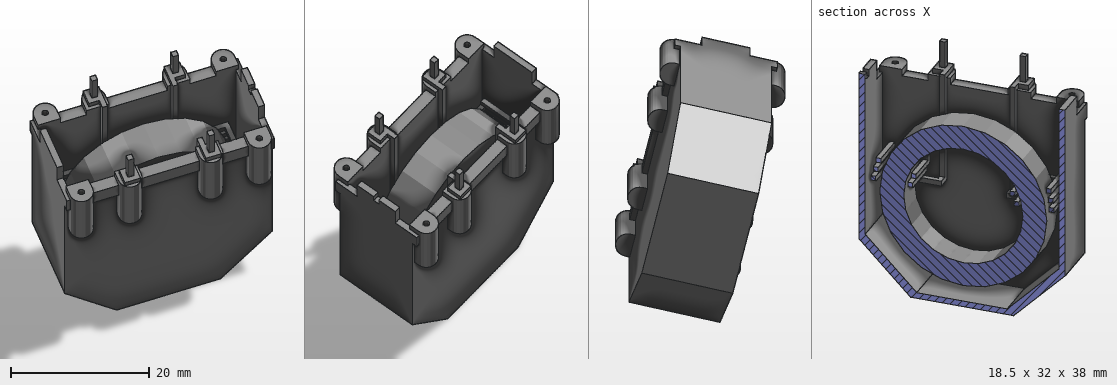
import cadquery as cq

facets = 24

length = 32.0
wall = 1.0
body_half_width = 6.75
cavity_half_width = body_half_width - wall
base_length = 16.0
base_chamfer = (length - base_length) / 2
cavity_length = length - 2 * wall
floor_length = base_length - 2 * wall
slope_rise = (cavity_length - floor_length) / 2

rim_half_width = 7.6
rim_bottom = 29.6
rim_top = 32.0
tab_width = 7.15
tab_top = 35.0
notch_width = 0.95
notch_depth = 1.0

overall_width = 18.5
boss_radius = 1.75
boss_x = overall_width / 2 - boss_radius
boss_bottom = 24.0
boss_top = 33.02
screw_boss_y = 13.7
pin_boss_y = 6.25
screw_hole_diameter = 0.9
screw_hole_depth = 4.0

core_radius = 13.0
core_bore_radius = 9.2
core_thickness = 6.3
core_height = 16.4
core_y = -0.2

wire = 0.8
pad_size = 2.4
pin_size = 0.87
pin_top = 38.0
leg_x = cavity_half_width - wire / 2
arm_y = pin_boss_y - pad_size / 2 + wire / 2
side_x = 4.03
top_turn_rise = 4.95
top_level = core_height + top_turn_rise
pitch = 1.52
front_outer_passes = (13.45, 13.75, 13.87)
front_inner_passes = (7.83, 8.45)
rear_outer_passes = (12.95, 13.38, 13.75)
rear_inner_passes = (7.5, 8.0)


def span_box(x_range, y_range, z_range):
    """Box between the given limits."""
    sizes = [abs(r[1] - r[0]) for r in (x_range, y_range, z_range)]
    corner = [min(r) for r in (x_range, y_range, z_range)]
    return cq.Workplane("XY").box(*sizes, centered=False).translate(tuple(corner))


def end_profile(full_length, bottom_length, bottom, top, rise):
    """YZ outline with 45-degree slopes at the bottom ends, as a closed wire."""
    return cq.Workplane("YZ").polyline([
        (-bottom_length / 2, bottom),
        (bottom_length / 2, bottom),
        (full_length / 2, bottom + rise),
        (full_length / 2, top),
        (-full_length / 2, top),
        (-full_length / 2, bottom + rise),
    ]).close()


def make_boss(side, y):
    """Faceted boss at one side, with a straight root reaching the cavity face."""
    height = boss_top - boss_bottom
    post = cq.Workplane("XY", origin=(side * boss_x, y, boss_bottom))
    post = post.polygon(facets, 2 * boss_radius).extrude(height)
    root = span_box(
        (side * cavity_half_width, side * boss_x),
        (y - boss_radius, y + boss_radius),
        (boss_bottom, boss_top),
    )
    return post.union(root)


def make_housing():
    """Open-topped box with a wider rim, end tabs and bosses."""
    shell = end_profile(length, base_length, 0, rim_top, base_chamfer).extrude(body_half_width, both=True)
    rim = span_box((-rim_half_width, rim_half_width), (-length / 2, length / 2), (rim_bottom, rim_top))
    tabs = span_box((-tab_width / 2, tab_width / 2), (-length / 2, length / 2), (rim_top, tab_top))
    housing = shell.union(rim).union(tabs)
    for side in (-1, 1):
        for y in (-screw_boss_y, -pin_boss_y, pin_boss_y, screw_boss_y):
            housing = housing.union(make_boss(side, y))

    cavity = end_profile(cavity_length, floor_length, wall, pin_top, slope_rise)
    housing = housing.cut(cavity.extrude(cavity_half_width, both=True))

    notch = span_box(
        (-notch_width / 2, notch_width / 2),
        (cavity_length / 2, length / 2),
        (tab_top - notch_depth, tab_top),
    )
    screw_holes = (
        cq.Workplane("XY", origin=(0, 0, boss_top))
        .rect(2 * boss_x, 2 * screw_boss_y, forConstruction=True)
        .vertices()
        .polygon(facets, screw_hole_diameter)
        .extrude(-screw_hole_depth)
    )
    return housing.cut(notch).cut(screw_holes)


def make_core():
    """Ring standing upright in the housing."""
    ring = (
        cq.Workplane("YZ", origin=(0, core_y, core_height))
        .polygon(facets, 2 * core_radius)
        .polygon(facets, 2 * core_bore_radius)
    )
    return ring.extrude(core_thickness / 2, both=True)


def wire_along(points):
    """Square wire following axis-parallel segments through the given points."""
    half = wire / 2
    body = None
    for start, end in zip(points, points[1:]):
        ranges = [(min(a, b) - half, max(a, b) + half) for a, b in zip(start, end)]
        segment = span_box(*ranges)
        body = segment if body is None else body.union(segment)
    return body


def make_terminal(side, end):
    """Pin, pad on the boss and the start of the arm over the cavity."""
    x = side * boss_x
    y = end * pin_boss_y
    half_pad = pad_size / 2
    half_pin = pin_size / 2
    pad_top = boss_top + wire
    pad = span_box((x - half_pad, x + half_pad), (y - half_pad, y + half_pad), (boss_top, pad_top))
    pin = span_box((x - half_pin, x + half_pin), (y - half_pin, y + half_pin), (pad_top, pin_top))
    return pad.union(pin)


def lead_path(side, end, level):
    """Wire centres from the pad along the arm, down the leg and in to the coil side."""
    arm_level = boss_top + wire / 2
    y = end * arm_y
    return [
        (side * boss_x, y, arm_level),
        (side * leg_x, y, arm_level),
        (side * leg_x, y, level),
        (side * side_x, y, level),
    ]


def make_coil(end, outer_passes, inner_passes):
    """Left terminal and the turns around the core at one end, stepping down on the right."""
    level = top_level
    path = lead_path(-1, end, level)
    for turn, outer_y in enumerate(outer_passes):
        path.append((-side_x, end * outer_y, level))
        path.append((side_x, end * outer_y, level))
        if turn < len(inner_passes):
            level -= pitch / 2
            path.append((side_x, end * outer_y, level))
            path.append((side_x, end * inner_passes[turn], level))
            level -= pitch / 2
            path.append((side_x, end * inner_passes[turn], level))
            path.append((-side_x, end * inner_passes[turn], level))
    return make_terminal(-1, end).union(wire_along(path))


def make_return_lead(end, outer_passes):
    """Right terminal and the wire that runs under the last turn to its end."""
    last_pass = outer_passes[-1]
    turn_level = top_level - (len(outer_passes) - 1) * pitch
    level = turn_level - pitch
    path = lead_path(1, end, level)
    path.append((side_x, end * last_pass, level))
    path.append((side_x, end * last_pass, turn_level - wire))
    return make_terminal(1, end).union(wire_along(path))


housing = make_housing()
core = make_core()
coils = []
return_leads = []
for end, outer_passes, inner_passes in (
    (-1, front_outer_passes, front_inner_passes),
    (1, rear_outer_passes, rear_inner_passes),
):
    coils.append(make_coil(end, outer_passes, inner_passes))
    return_leads.append(make_return_lead(end, outer_passes))

result = cq.Compound.makeCompound([
    housing.val(),
    core.val(),
    *[coil.val() for coil in coils],
    *[lead.val() for lead in return_leads],
])